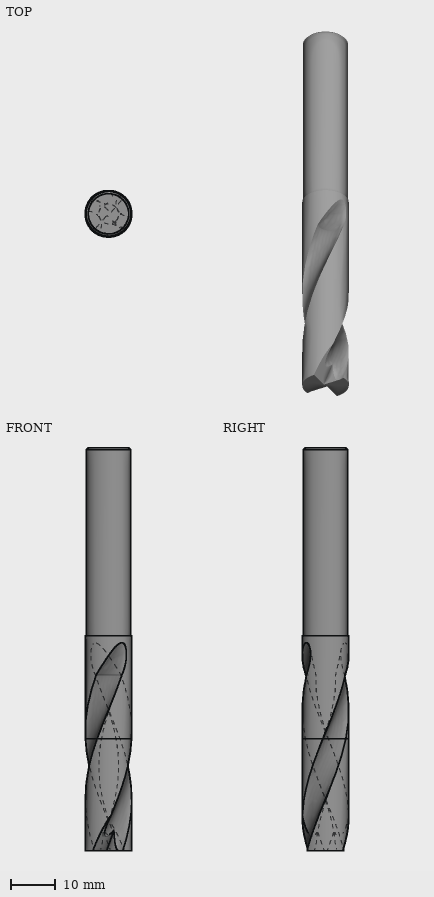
import cadquery as cq


total_length = 90.0
cutting_length = 25.0
neck_top = 48.0
cutting_radius = 5.2
shank_radius = 5.0
shank_chamfer = 0.5

flute_count = 2
flute_radius = 3.0
flute_pitch = 79.6
flute_length = 39.3
flute_tip_angle = 94.0

runout_height = 9.0
runout_outward = 2.1
runout_sideways = 5.6

gash_root = (-0.43, -0.31)
gash_heel = (-5.0, -5.55)
gash_face_end = (2.2, -2.82)
gash_rise = (3.02, -2.9, 8.4)

flute_spacing = 360.0 / flute_count
helix_turn = 360.0 * flute_length / flute_pitch
runout_angle = flute_tip_angle + helix_turn


def turned(shape, angle):
    return shape.rotate((0, 0, 0), (0, 0, 1), angle)


def make_shank_blank():
    neck = cq.Workplane("XY", origin=(0, 0, cutting_length)).circle(cutting_radius)
    neck = neck.extrude(neck_top - cutting_length)
    shank = cq.Workplane("XY", origin=(0, 0, neck_top)).circle(shank_radius)
    shank = shank.extrude(total_length - neck_top).faces(">Z").chamfer(shank_chamfer)
    return neck.union(shank)


def make_cutting_blank():
    return cq.Workplane("XY").circle(cutting_radius).extrude(cutting_length)


def make_flute():
    section = cq.Workplane("XY").pushPoints([(cutting_radius, 0)]).circle(flute_radius)
    groove = section.twistExtrude(flute_length, helix_turn)
    return turned(groove, flute_tip_angle)


def make_runout():
    section = cq.Workplane("XY", origin=(cutting_radius, 0, flute_length)).circle(flute_radius)
    direction = cq.Vector(runout_outward, runout_sideways, runout_height)
    runout = cq.Workplane(cq.Solid.extrudeLinear(section.wires().val(), [], direction))
    return turned(runout, runout_angle)


def make_gash():
    section = cq.Workplane("XY").polyline([gash_root, gash_heel, gash_face_end]).close()
    return cq.Workplane(cq.Solid.extrudeLinear(section.val(), [], cq.Vector(*gash_rise)))


shank = make_shank_blank()
cutting_head = make_cutting_blank()
for index in range(flute_count):
    turn = index * flute_spacing
    flute = turned(make_flute(), turn)
    shank = shank.cut(flute).cut(turned(make_runout(), turn))
    cutting_head = cutting_head.cut(flute).cut(turned(make_gash(), turn))

result = cq.Compound.makeCompound([shank.solids().val(), cutting_head.solids().val()])